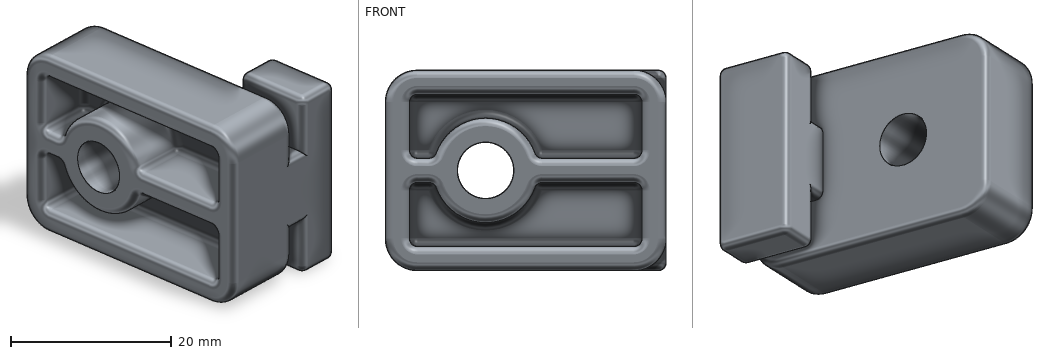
import cadquery as cq

length = 35.0
height = 25.0
total_depth = 19.0
block_depth = 11.0
corner_radius = 4.0
edge_radius = 1.0

wall = 3.0
rib_thickness = wall
pocket_depth = 8.0
boss_radius = 6.5
hole_diameter = 7.0

hook_length = 10.5
stem_height = 10.0
stem_gap = 2.0
head_depth = total_depth - block_depth - stem_gap

hole_inset = height / 2
left = -hole_inset
right = left + length
block_center_x = (left + right) / 2
hook_center_x = right - hook_length / 2


def box_between(center_x, center_z, size_x, size_z, front, depth):
    """Box centred in X and Z that runs back from the given front plane."""
    return cq.Workplane("XY").box(size_x, depth, size_z).translate((center_x, front + depth / 2, center_z))


def cylinder_back(radius, depth):
    """Cylinder on the hole axis that runs back from the front face."""
    return cq.Workplane("XZ").circle(radius).extrude(-depth)


def make_block():
    block = box_between(block_center_x, 0, length, height, 0, block_depth)
    return block.edges("|Y").fillet(corner_radius)


def make_pocket(side):
    """Pocket above (side = 1) or below (side = -1) the rib, bounded by the boss."""
    pocket_height = height / 2 - wall - rib_thickness / 2
    center_z = side * (rib_thickness + pocket_height) / 2
    pocket = box_between(block_center_x, center_z, length - 2 * wall, pocket_height, 0, pocket_depth)
    pocket = pocket.cut(cylinder_back(boss_radius, pocket_depth))
    return pocket.edges("|Y or >Y").fillet(edge_radius)


def make_hook():
    head_front = total_depth - head_depth
    head = box_between(hook_center_x, 0, hook_length, height, head_front, head_depth)
    head = head.edges().fillet(edge_radius)
    stem_front = block_depth - edge_radius
    stem_depth = stem_gap + 2 * edge_radius
    stem = box_between(hook_center_x, 0, hook_length, stem_height, stem_front, stem_depth)
    return head.union(stem.edges("|Y").fillet(edge_radius))


block = make_block()
for side in (1, -1):
    block = block.cut(make_pocket(side))

block = block.edges("<Y or >Y").fillet(edge_radius)
block = block.cut(cylinder_back(hole_diameter / 2, block_depth))

result = block.union(make_hook())